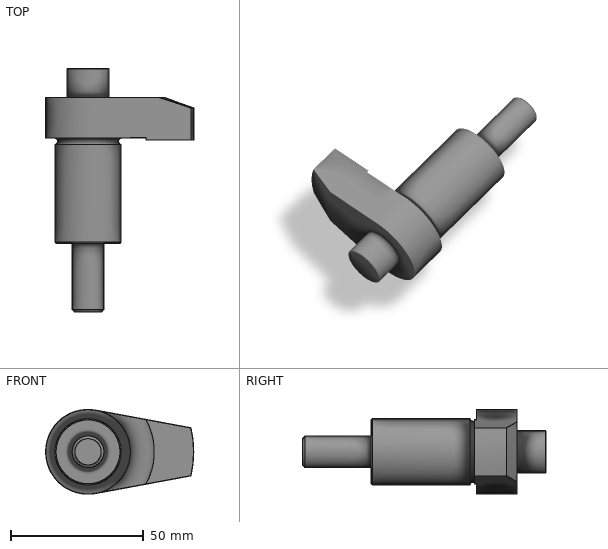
import cadquery as cq
import math

total_length = 92.0
pin_length = 25.9
barrel_length = 37.35
groove_length = 2.4
hub_thickness = 15.4

hub_radius = 32.0 / 2
barrel_radius = 25.0 / 2
boss_radius = 16.0 / 2
pin_radius = 12.0 / 2

pin_chamfer = 1.0
barrel_chamfer = 0.5
boss_chamfer = 0.3

groove_floor_radius = 11.5

arm_reach = 55.9 - hub_radius
arm_taper_angle = math.radians(10.5)
face_relief = 0.1
pad_height = 0.7
pad_inner_radius = 25.0
bevel_start_radius = 29.0
bevel_angle = math.radians(20)

barrel_front = pin_length
groove_front = barrel_front + barrel_length
hub_front = groove_front + groove_length
hub_back = hub_front + hub_thickness
arm_front = hub_front + face_relief
pad_front = hub_front - pad_height


def cylinder(radius, start, length):
    """Cylinder on the pivot axis, growing toward +Y."""
    return cq.Workplane("XZ", origin=(0, start, 0)).circle(radius).extrude(-length)


def make_pin():
    pin = cylinder(pin_radius, 0, pin_length + barrel_length)
    return pin.faces("<Y").chamfer(pin_chamfer)


def make_barrel():
    barrel = cylinder(barrel_radius, barrel_front, barrel_length)
    return barrel.faces("<Y").chamfer(barrel_chamfer)


def make_groove_neck():
    """Neck whose wall is a concave arc from the barrel to the hub."""
    return (
        cq.Workplane("XY")
        .moveTo(0, groove_front)
        .lineTo(barrel_radius, groove_front)
        .threePointArc(
            (groove_floor_radius, groove_front + groove_length / 2),
            (barrel_radius, hub_front),
        )
        .lineTo(0, hub_front)
        .close()
        .revolve(360, (0, 0, 0), (0, 1, 0))
    )


def make_boss():
    boss = cylinder(boss_radius, hub_front, total_length - hub_front)
    return boss.faces(">Y").chamfer(boss_chamfer)


def make_arm():
    """Tapered arm tangent to the hub, trimmed by a turned profile."""
    tangent_x = hub_radius * math.sin(arm_taper_angle)
    tangent_z = hub_radius * math.cos(arm_taper_angle)
    end_z = tangent_z - (arm_reach - tangent_x) * math.tan(arm_taper_angle)
    outline = (
        cq.Workplane("XZ", origin=(0, pad_front, 0))
        .polyline([
            (0, 0),
            (tangent_x, tangent_z),
            (arm_reach, end_z),
            (arm_reach, -end_z),
            (tangent_x, -tangent_z),
        ])
        .close()
        .extrude(pad_front - hub_back)
    )
    bevel_drop = (arm_reach - bevel_start_radius) * math.tan(bevel_angle)
    turned_profile = (
        cq.Workplane("XY")
        .polyline([
            (0, arm_front),
            (pad_inner_radius, arm_front),
            (pad_inner_radius, pad_front),
            (arm_reach, pad_front),
            (arm_reach, hub_back - bevel_drop),
            (bevel_start_radius, hub_back),
            (0, hub_back),
        ])
        .close()
        .revolve(360, (0, 0, 0), (0, 1, 0))
    )
    return outline.intersect(turned_profile)


hub = cylinder(hub_radius, hub_front, hub_thickness)
result = (
    hub.union(make_arm())
    .union(make_groove_neck())
    .union(make_barrel())
    .union(make_pin())
    .union(make_boss())
)